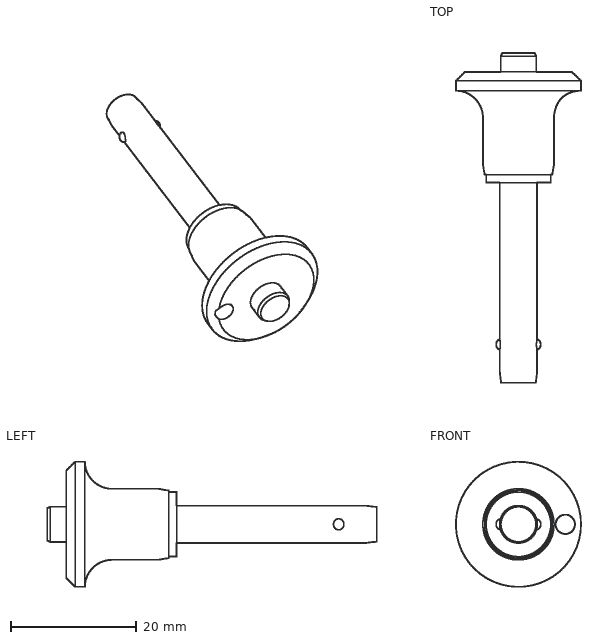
import cadquery as cq

total_length = 52.7

button_radius = 2.85
button_height = 3.05
button_bevel_length = 0.55
button_bevel_depth = 0.25

flange_radius = 10.0
flange_chamfer = 1.4
rim_width = 1.6
body_radius = 5.7
body_length = 7.5
flare_radius = flange_radius - body_radius
body_taper_length = 1.6
body_taper_depth = 0.25
collar_radius = 5.15
collar_length = 1.25

shank_radius = 3.0
tip_taper_length = 1.75
tip_taper_depth = 0.2

ball_radius = 0.9
ball_reach = 3.6
ball_from_tip = 6.1

hole_radius = 1.55
hole_offset = 7.5

y_top = total_length / 2
y_tip = -total_length / 2
y_flange_top = y_top - button_height
y_rim_top = y_flange_top - flange_chamfer
y_rim_bottom = y_rim_top - rim_width
y_flare_end = y_rim_bottom - flare_radius
y_body_end = y_flare_end - body_length
y_taper_end = y_body_end - body_taper_length
y_collar_end = y_taper_end - collar_length


def make_pin():
    """Button, handle and shank revolved as one profile about Y."""
    flare_center = (flange_radius, y_flare_end)
    diagonal = flare_radius * 0.5**0.5
    flare_middle = (flare_center[0] - diagonal, flare_center[1] + diagonal)
    profile = (
        cq.Workplane("XY")
        .moveTo(0, y_top)
        .lineTo(button_radius - button_bevel_depth, y_top)
        .lineTo(button_radius, y_top - button_bevel_length)
        .lineTo(button_radius, y_flange_top)
        .lineTo(flange_radius - flange_chamfer, y_flange_top)
        .lineTo(flange_radius, y_rim_top)
        .lineTo(flange_radius, y_rim_bottom)
        .threePointArc(flare_middle, (body_radius, y_flare_end))
        .lineTo(body_radius, y_body_end)
        .lineTo(body_radius - body_taper_depth, y_taper_end)
        .lineTo(collar_radius, y_taper_end)
        .lineTo(collar_radius, y_collar_end)
        .lineTo(shank_radius, y_collar_end)
        .lineTo(shank_radius, y_tip + tip_taper_length)
        .lineTo(shank_radius - tip_taper_depth, y_tip)
        .lineTo(0, y_tip)
        .close()
    )
    return profile.revolve(360, (0, 0, 0), (0, 1, 0))


def make_ball(side):
    """Locking ball standing out of the shank on the +X or -X side."""
    center_x = side * (ball_reach - ball_radius)
    return cq.Workplane("XY").sphere(ball_radius).translate((center_x, y_tip + ball_from_tip, 0))


def make_lanyard_hole():
    """Cutter running through the flange, parallel to the pin axis."""
    cutter = cq.Workplane("XZ").center(hole_offset, 0).circle(hole_radius)
    return cutter.extrude(total_length / 2, both=True)


result = make_pin()
for ball_side in (-1, 1):
    result = result.union(make_ball(ball_side))
result = result.cut(make_lanyard_hole())